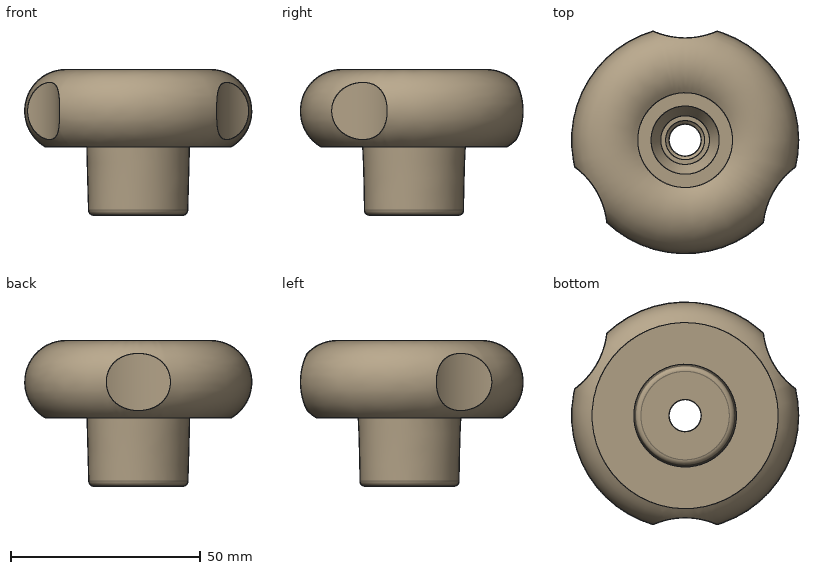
import cadquery as cq
import math

knob_radius = 30.0
knob_height = 38.5
head_bottom = 18.05

rim_section_radius = 11.0
rim_centre_radius = knob_radius - rim_section_radius
rim_centre_height = knob_height - rim_section_radius

stem_top_radius = 13.55
stem_foot_radius = 13.1
stem_foot_fillet = 1.45

recess_radius = 25.0 / 2
recess_floor = 29.7
cone_top_radius = 9.0
cone_bottom_radius = 6.4
cone_floor = 25.15
bore_radius = 8.4 / 2
bore_chamfer = 0.95

hollow_count = 3
first_hollow_angle = 90.0
hollow_depth = 3.0
hollow_half_width = 8.45


def rim_half_width(height):
    """Radial half width of the rim section at a given height."""
    return math.sqrt(rim_section_radius**2 - (height - rim_centre_height) ** 2)


def rim_half_height(radius):
    """Half height of the rim section at a given distance from the axis."""
    return math.sqrt(rim_section_radius**2 - (radius - rim_centre_radius) ** 2)


def make_head():
    """Ring-shaped rim with a flat underside and a web filling its middle down to the axis."""
    recess_edge = rim_centre_height + rim_half_height(recess_radius)
    underside_radius = rim_centre_radius + rim_half_width(head_bottom)
    return (
        cq.Workplane("XZ")
        .moveTo(0, head_bottom)
        .lineTo(underside_radius, head_bottom)
        .threePointArc((knob_radius, rim_centre_height), (recess_radius, recess_edge))
        .lineTo(recess_radius, recess_floor)
        .lineTo(0, recess_floor)
        .close()
        .revolve(360, (0, 0, 0), (0, 1, 0))
    )


def make_stem():
    """Tapered stem with a rounded foot."""
    stem = (
        cq.Workplane("XZ")
        .lineTo(stem_foot_radius, 0)
        .lineTo(stem_top_radius, head_bottom)
        .lineTo(0, head_bottom)
        .close()
        .revolve(360, (0, 0, 0), (0, 1, 0))
    )
    return stem.faces("<Z").edges().fillet(stem_foot_fillet)


def make_opening():
    """Conical seat that leads into a chamfered through bore."""
    return (
        cq.Workplane("XZ")
        .lineTo(bore_radius, 0)
        .lineTo(bore_radius, cone_floor - bore_chamfer)
        .lineTo(bore_radius + bore_chamfer, cone_floor)
        .lineTo(cone_bottom_radius, cone_floor)
        .lineTo(cone_top_radius, recess_floor)
        .lineTo(0, recess_floor)
        .close()
        .revolve(360, (0, 0, 0), (0, 1, 0))
    )


def make_hollow(angle):
    """Upright cylinder that cuts one finger hollow into the rim."""
    floor_radius = knob_radius - hollow_depth
    corner_radius = math.sqrt(knob_radius**2 - hollow_half_width**2)
    sagitta = corner_radius - floor_radius
    cutter_radius = (hollow_half_width**2 + sagitta**2) / (2 * sagitta)
    return (
        cq.Workplane("XY", origin=(0, 0, head_bottom))
        .center(floor_radius + cutter_radius, 0)
        .circle(cutter_radius)
        .extrude(knob_height - head_bottom)
        .rotate((0, 0, 0), (0, 0, 1), angle)
    )


result = make_head().union(make_stem()).cut(make_opening())
for index in range(hollow_count):
    result = result.cut(make_hollow(first_hollow_angle + index * 360 / hollow_count))